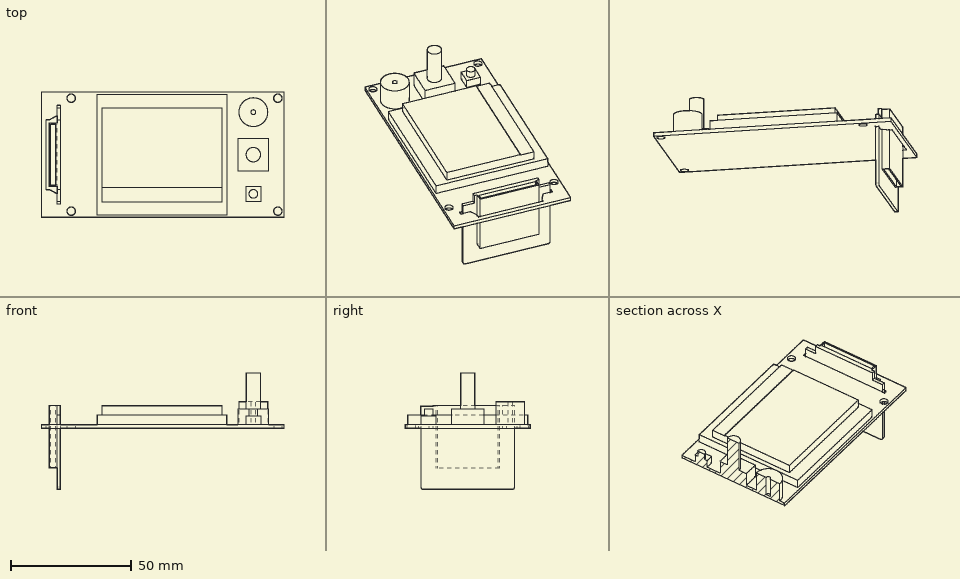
import cadquery as cq

board_length = 101.0
board_width = 52.2
board_thickness = 1.6
board_middle_y = board_width / 2

mount_hole_diameter = 3.4
mount_hole_inset = 2.6
mount_hole_left_x = 12.4

display_base_length = 54.0
display_base_width = 50.0
display_base_height = 4.0
display_middle_x = 50.2
panel_length = 50.0
panel_width = 39.0
panel_height = 4.0
panel_middle_y = 26.0
panel_strip_width = 6.0
panel_strip_drop = 0.3

controls_x = 88.2

buzzer_y = 43.8
buzzer_diameter = 12.0
buzzer_height = 9.5
buzzer_hole_diameter = 2.0

encoder_length = 12.8
encoder_width = 13.4
encoder_height = 6.5
encoder_shaft_diameter = 6.0
encoder_shaft_height = 15.0

button_y = 9.8
button_size = 6.2
button_height = 3.6
button_cap_diameter = 3.6
button_cap_height = 2.9

card_thickness = 1.4
card_width = 39.0
card_height = 35.0
card_left_x = 6.5
card_top_z = board_thickness + display_base_height + panel_height
card_bottom_z = card_top_z - card_height
card_neck_width = 29.0
card_shoulder_drop = 4.0
card_corner_radius = 1.0

socket_depth = 3.25
socket_width = 26.4
socket_height = 26.0
socket_wall = 0.6

slot_width = 41.0
pocket_left_x = 2.0
pocket_flare_x = 3.4
pocket_narrow_width = 29.0
pocket_wide_width = 32.4


def block(length, width, height, center_x, center_y, bottom_z):
    """Box centred on a point in plan, standing on the given height."""
    base = cq.Workplane("XY", origin=(center_x, center_y, bottom_z))
    return base.rect(length, width).extrude(height)


def post(diameter, height, center_x, center_y, bottom_z):
    """Upright cylinder standing on the given height."""
    base = cq.Workplane("XY", origin=(center_x, center_y, bottom_z))
    return base.circle(diameter / 2).extrude(height)


def make_board_plate():
    plate = cq.Workplane("XY").box(board_length, board_width, board_thickness, centered=False)
    hole_points = [
        (x, y)
        for x in (mount_hole_left_x, board_length - mount_hole_inset)
        for y in (mount_hole_inset, board_width - mount_hole_inset)
    ]
    holes = cq.Workplane("XY").pushPoints(hole_points).circle(mount_hole_diameter / 2).extrude(board_thickness)
    return plate.cut(holes).cut(make_card_opening())


def make_card_opening():
    slot_middle_x = card_left_x + card_thickness / 2
    slot = block(card_thickness, slot_width, board_thickness, slot_middle_x, board_middle_y, 0)
    narrow = pocket_narrow_width / 2
    wide = pocket_wide_width / 2
    pocket = (
        cq.Workplane("XY", origin=(0, board_middle_y, 0))
        .moveTo(card_left_x, -wide)
        .lineTo(pocket_flare_x, -narrow)
        .lineTo(pocket_left_x, -narrow)
        .lineTo(pocket_left_x, narrow)
        .lineTo(pocket_flare_x, narrow)
        .lineTo(card_left_x, wide)
        .close()
        .extrude(board_thickness)
    )
    return slot.union(pocket)


def make_display():
    base = block(
        display_base_length, display_base_width, display_base_height,
        display_middle_x, board_middle_y, board_thickness,
    )
    panel_bottom_z = board_thickness + display_base_height
    panel = block(panel_length, panel_width, panel_height, display_middle_x, panel_middle_y, panel_bottom_z)
    strip_middle_y = panel_middle_y - (panel_width - panel_strip_width) / 2
    strip_bottom_z = panel_bottom_z + panel_height - panel_strip_drop
    strip = block(
        panel_length, panel_strip_width, panel_strip_drop,
        display_middle_x, strip_middle_y, strip_bottom_z,
    )
    return base.union(panel).cut(strip)


def make_buzzer():
    body = post(buzzer_diameter, buzzer_height, controls_x, buzzer_y, board_thickness)
    sound_hole = post(buzzer_hole_diameter, buzzer_height, controls_x, buzzer_y, board_thickness)
    return body.cut(sound_hole)


def make_encoder():
    body = block(encoder_length, encoder_width, encoder_height, controls_x, board_middle_y, board_thickness)
    shaft_bottom_z = board_thickness + encoder_height
    shaft = post(encoder_shaft_diameter, encoder_shaft_height, controls_x, board_middle_y, shaft_bottom_z)
    return body.union(shaft)


def make_button():
    body = block(button_size, button_size, button_height, controls_x, button_y, board_thickness)
    cap_bottom_z = board_thickness + button_height
    cap = post(button_cap_diameter, button_cap_height, controls_x, button_y, cap_bottom_z)
    return body.union(cap)


def make_main_board():
    board = make_board_plate()
    for component in (make_display(), make_buzzer(), make_encoder(), make_button()):
        board = board.union(component)
    return board


def make_card_board():
    card_middle_x = card_left_x + card_thickness / 2
    shoulder_z = card_top_z - card_shoulder_drop
    plate = block(
        card_thickness, card_width, shoulder_z - card_bottom_z,
        card_middle_x, board_middle_y, card_bottom_z,
    )
    plate = plate.edges("|X and <Z").fillet(card_corner_radius)
    neck = block(
        card_thickness, card_neck_width, card_shoulder_drop,
        card_middle_x, board_middle_y, shoulder_z,
    )
    return plate.union(neck).union(make_card_socket())


def make_card_socket():
    socket_middle_x = card_left_x - socket_depth / 2
    socket_bottom_z = card_top_z - socket_height
    shell = block(
        socket_depth, socket_width, socket_height,
        socket_middle_x, board_middle_y, socket_bottom_z,
    )
    cavity = block(
        socket_depth - 2 * socket_wall, socket_width - 2 * socket_wall, socket_height,
        socket_middle_x, board_middle_y, socket_bottom_z,
    )
    return shell.cut(cavity)


main_board = make_main_board()
card_board = make_card_board()

result = cq.Compound.makeCompound([main_board.val(), card_board.val()])